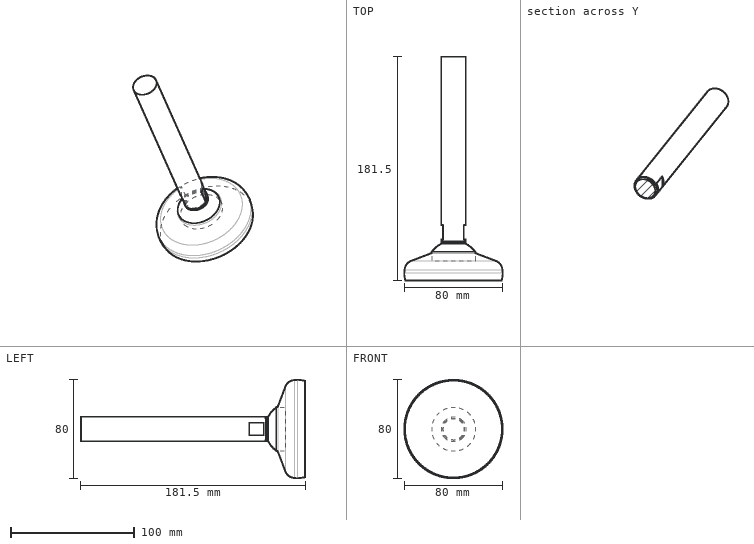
import cadquery as cq
import math

OVERALL_LENGTH = 181.5

ROD_RADIUS = 10.0
ROD_START = 32.0
UPPER_GROOVE_RADIUS = 8.5
COLLAR_HEIGHT = 30.9
DOME_TOP = 30.0
LOWER_GROOVE_RADIUS = 8.9
DOME_RADIUS = 22.0
DOME_CENTRE = 10.3
FLAT_WIDTH = 17.0
FLAT_START = 33.4
FLAT_LENGTH = 11.6

FOOT_DIAMETER = 80.0
FOOT_RADIUS = FOOT_DIAMETER / 2
BULGE_HEIGHT = 6.2
BULGE_RADIUS = 23.6
SHOULDER_START = 8.9
SHOULDER_RADIUS = 39.7
SLOPE_OUTER_RADIUS = 34.5
SLOPE_OUTER_HEIGHT = 16.0
SLOPE_INNER_RADIUS = 18.7
SLOPE_INNER_HEIGHT = 22.0
SOCKET_RIM_HEIGHT = 23.2
SOCKET_FLOOR = 16.0


def dome_radius_at(height):
    """Radius of the dome's circular section at a given height."""
    return math.sqrt(DOME_RADIUS**2 - (height - DOME_CENTRE) ** 2)


def bulge_radius_at(height):
    """Outer radius of the foot's bulging rim at a given height."""
    return FOOT_RADIUS - BULGE_RADIUS + math.sqrt(BULGE_RADIUS**2 - (height - BULGE_HEIGHT) ** 2)


SOCKET_RADIUS = dome_radius_at(SOCKET_RIM_HEIGHT)


def revolve_about_y(profile):
    """Turn a closed half profile a full circle about the Y axis."""
    return profile.close().revolve(360, (0, 0, 0), (0, 1, 0))


def make_spindle():
    """Rod with two wrench flats, a grooved neck and a dome standing on a round stub."""
    dome_middle = (SOCKET_RIM_HEIGHT + DOME_TOP) / 2
    spindle = revolve_about_y(
        cq.Workplane("XY")
        .moveTo(0, SOCKET_FLOOR)
        .lineTo(SOCKET_RADIUS, SOCKET_FLOOR)
        .lineTo(SOCKET_RADIUS, SOCKET_RIM_HEIGHT)
        .threePointArc((dome_radius_at(dome_middle), dome_middle), (dome_radius_at(DOME_TOP), DOME_TOP))
        .lineTo(LOWER_GROOVE_RADIUS, DOME_TOP)
        .lineTo(ROD_RADIUS, COLLAR_HEIGHT)
        .lineTo(UPPER_GROOVE_RADIUS, ROD_START)
        .lineTo(ROD_RADIUS, ROD_START)
        .lineTo(ROD_RADIUS, OVERALL_LENGTH)
        .lineTo(0, OVERALL_LENGTH)
    )
    for side in (-1, 1):
        cutter_place = (side * (FLAT_WIDTH + ROD_RADIUS) / 2, FLAT_START + FLAT_LENGTH / 2, 0)
        flat_cut = cq.Workplane("XY").box(ROD_RADIUS, FLAT_LENGTH, 2 * ROD_RADIUS).translate(cutter_place)
        spindle = spindle.cut(flat_cut)
    return spindle


def make_foot():
    """Plate with a bulging rim, a rounded shoulder, a flared neck and a socket for the spindle."""
    bulge_middle = BULGE_HEIGHT / 2
    return revolve_about_y(
        cq.Workplane("XY")
        .lineTo(bulge_radius_at(0), 0)
        .threePointArc((bulge_radius_at(bulge_middle), bulge_middle), (FOOT_RADIUS, BULGE_HEIGHT))
        .lineTo(SHOULDER_RADIUS, SHOULDER_START)
        .tangentArcPoint((SLOPE_OUTER_RADIUS, SLOPE_OUTER_HEIGHT), relative=False)
        .lineTo(SLOPE_INNER_RADIUS, SLOPE_INNER_HEIGHT)
        .tangentArcPoint((SOCKET_RADIUS, SOCKET_RIM_HEIGHT), relative=False)
        .lineTo(SOCKET_RADIUS, SOCKET_FLOOR)
        .lineTo(0, SOCKET_FLOOR)
    )


spindle = make_spindle()
foot = make_foot()
result = cq.Compound.makeCompound([spindle.val(), foot.val()])